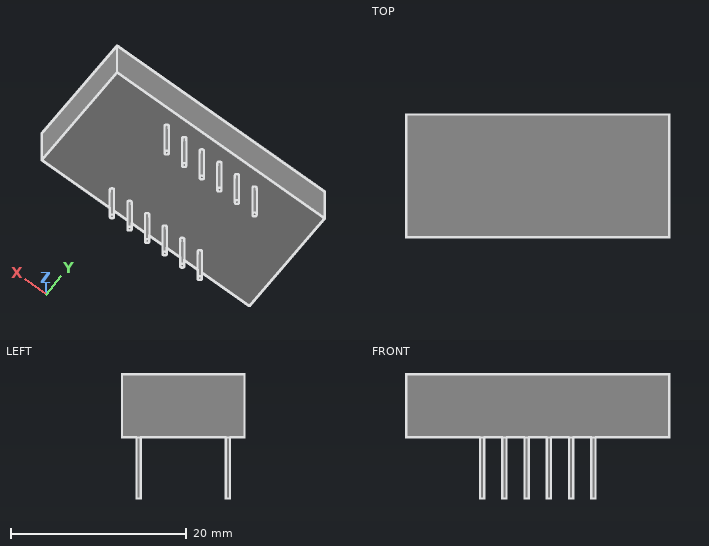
import cadquery as cq

body_length = 30.0
body_width = 14.0
body_height = 7.2

pin_diameter = 0.5
pin_length = 7.0
pins_per_row = 6
row_length = 12.7
row_spacing = 10.17
row_count = 2
pin_pitch = row_length / (pins_per_row - 1)


def make_body():
    return cq.Workplane("XY").box(body_length, body_width, body_height, centered=(True, True, False))


def make_pins():
    return (
        cq.Workplane("XY")
        .rarray(pin_pitch, row_spacing, pins_per_row, row_count)
        .circle(pin_diameter / 2)
        .extrude(-pin_length)
    )


result = make_body().union(make_pins())